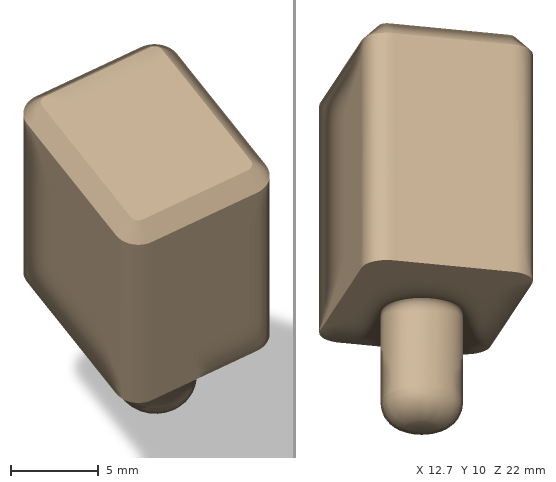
import cadquery as cq

total_height = 22.0
body_length = 12.7
body_width = 10.0
body_height = 15.0

corner_radius = 1.5
top_chamfer = 1.0

pin_diameter = 4.7
pin_length = total_height - body_height
pin_offset = 1.0
pin_tip_radius = 1.5


def make_body():
    """Block standing on Z = 0 with rounded corners and a chamfered top rim."""
    block = cq.Workplane("XY").box(body_length, body_width, body_height, centered=(True, True, False))
    return block.edges("|Z").fillet(corner_radius).faces(">Z").edges().chamfer(top_chamfer)


def make_pin():
    """Round pin hanging below the body, off centre in X, with a rounded tip."""
    pin = cq.Workplane("XY").center(pin_offset, 0).circle(pin_diameter / 2).extrude(-pin_length)
    return pin.faces("<Z").edges().fillet(pin_tip_radius)


result = make_body().union(make_pin())